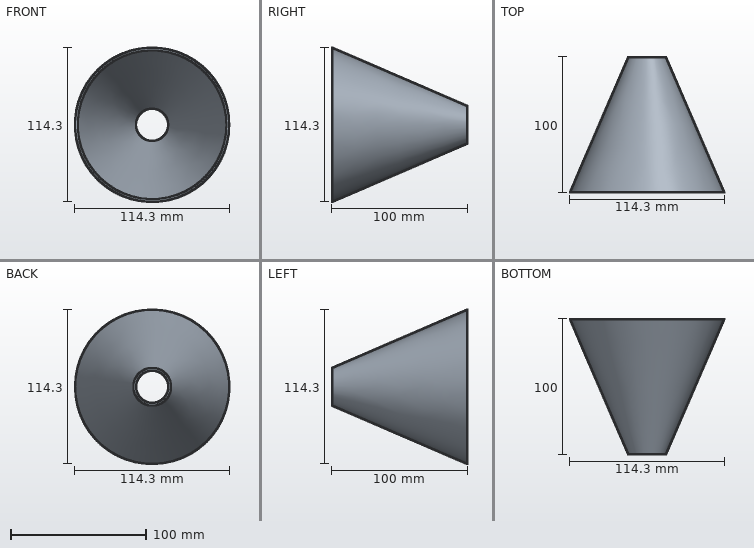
import cadquery as cq
import math

LARGE_OUTER_DIAMETER = 114.3
SMALL_OUTER_DIAMETER = 28.0
LENGTH = 100.0
WALL_THICKNESS = 2.0

large_outer_radius = LARGE_OUTER_DIAMETER / 2
small_outer_radius = SMALL_OUTER_DIAMETER / 2

half_angle = math.atan((large_outer_radius - small_outer_radius) / LENGTH)
end_face_width = WALL_THICKNESS / math.cos(half_angle)


def reducer_shell():
    """Revolve the sloping wall section about the Y axis, large end at Y = 0."""
    wall_section = [
        (large_outer_radius - end_face_width, 0),
        (large_outer_radius, 0),
        (small_outer_radius, LENGTH),
        (small_outer_radius - end_face_width, LENGTH),
    ]
    profile = cq.Workplane("XY").polyline(wall_section).close()
    return profile.revolve(360, (0, 0, 0), (0, 1, 0))


result = reducer_shell()